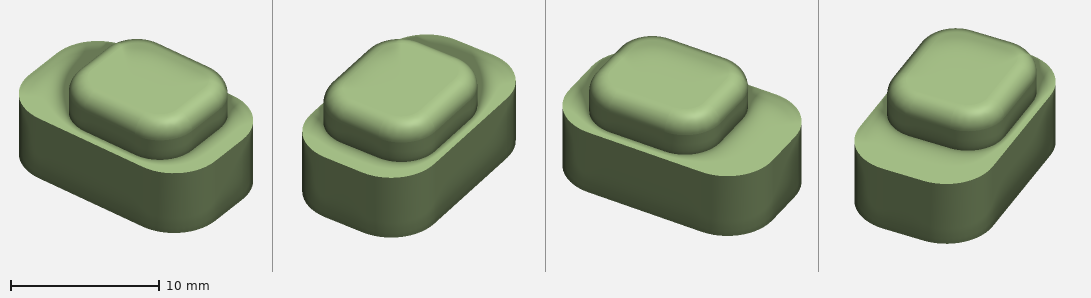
import cadquery as cq

base_length = 15.82
base_width = 10.01
base_height = 5.06
base_corner_radius = 3.5

total_height = 7.97
button_length = 9.8
button_width = 8.51
button_height = total_height - base_height
button_corner_radius = 2.75
button_edge_radius = 1.27
button_offset = 1.05


def rounded_block(length, width, height, corner_radius):
    """Block standing on Z = 0 with rounded vertical edges."""
    block = cq.Workplane("XY").box(length, width, height, centered=(True, True, False))
    return block.edges("|Z").fillet(corner_radius)


base = rounded_block(base_length, base_width, base_height, base_corner_radius)

button = rounded_block(button_length, button_width, button_height, button_corner_radius)
button = button.faces(">Z").edges().fillet(button_edge_radius)

result = base.union(button.translate((button_offset, 0, base_height)))